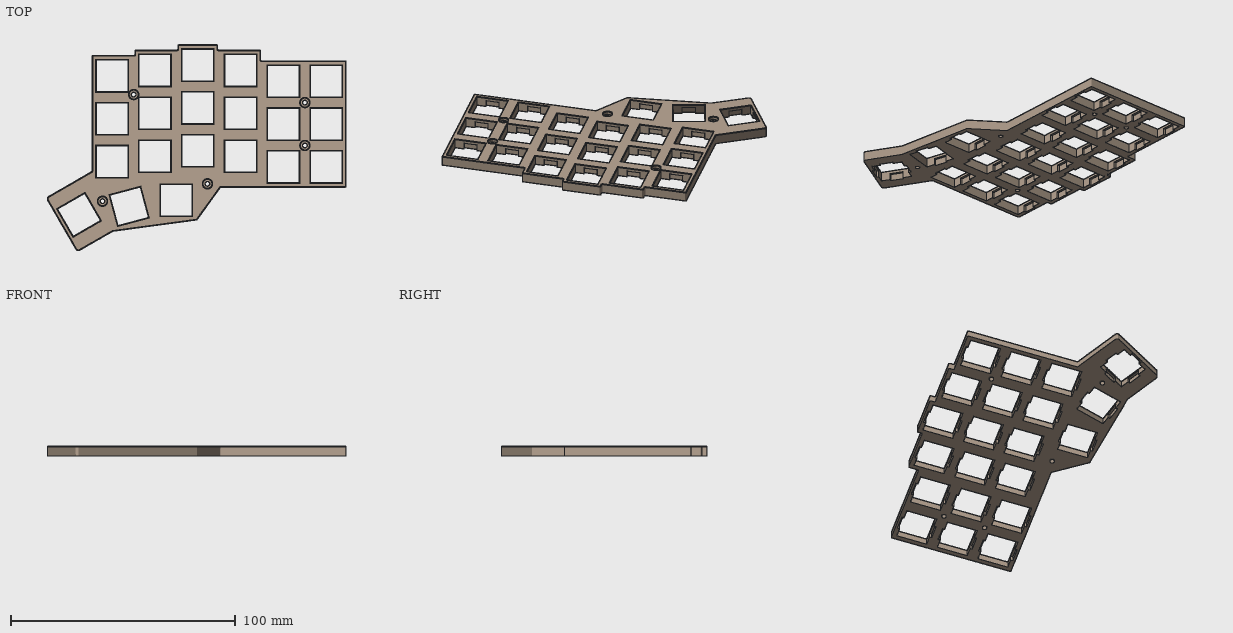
import cadquery as cq
import math

thickness = 4.5
corner_radius = 0.5
top_chamfer = 0.3

pitch = 19.05
stagger_step = pitch / 8
stagger_steps = [1, 2, 3, 2, 0, 0]
columns = len(stagger_steps)
rows = 3
first_column_x = -37.62
unstaggered_row_y = -8.54
side_margin = 8.855
end_margin = 9.06

opening = 14.0
clip_rim = 1.5
clip_width = 6.0
clip_depth = 1.0

thumb_inner = (-9.05, -23.34, 0)
thumb_middle = (-30.01, -26.08, 15)
thumb_outer = (-52.3, -29.85, 30)

thumb_margin = 8.86
thumb_end_half_length = 13.8
thumb_end_radius = 1.3

thumb_notch = (-37.26, -37.17)
thumb_tip = (0.12, -32.13)
thumb_shoulder_x = 10.6

screw_diameter = 2.0
counterbore_diameter = 4.0
counterbore_depth = 1.5
left_screw = (-28.0, 23.6)
shoulder_screw = (4.8, -16.05)
thumb_screw = (-41.85, -23.8)


def key_center(column, row):
    """Centre of a grid key."""
    x = first_column_x + column * pitch
    y = unstaggered_row_y + stagger_steps[column] * stagger_step + row * pitch
    return x, y


def thumb_end_corner(side):
    """Sharp corner of the thumb end; side is 1 for the upper corner and -1 for the lower one."""
    center_x, center_y, turn_degrees = thumb_outer
    turn = math.radians(turn_degrees)
    along = -thumb_margin
    across = side * thumb_end_half_length
    x = center_x + along * math.cos(turn) - across * math.sin(turn)
    y = center_y + along * math.sin(turn) + across * math.cos(turn)
    return x, y


def stepped_top_edge():
    """Outline corners along the staggered column tops; a taller column keeps its full side margin."""
    points = [(key_center(0, 0)[0] - side_margin, key_center(0, rows - 1)[1] + end_margin)]
    for column in range(columns - 1):
        next_column = column + 1
        height = key_center(column, rows - 1)[1] + end_margin
        next_height = key_center(next_column, rows - 1)[1] + end_margin
        if next_height == height:
            continue
        if next_height > height:
            step_x = key_center(next_column, 0)[0] - side_margin
        else:
            step_x = key_center(column, 0)[0] + side_margin
        points += [(step_x, height), (step_x, next_height)]
    points.append((key_center(columns - 1, 0)[0] + side_margin, next_height))
    return points


def outline_points():
    top_edge = stepped_top_edge()
    left = top_edge[0][0]
    right = top_edge[-1][0]
    bottom = key_center(columns - 1, 0)[1] - end_margin
    upper_end = thumb_end_corner(1)
    rise = (left - upper_end[0]) * math.tan(math.radians(thumb_outer[2]))
    thumb_edge = [
        (right, bottom),
        (thumb_shoulder_x, bottom),
        thumb_tip,
        thumb_notch,
        thumb_end_corner(-1),
        upper_end,
        (left, upper_end[1] + rise),
    ]
    return top_edge + thumb_edge


def make_plate():
    corners = outline_points()
    end_corners = [thumb_end_corner(1), thumb_end_corner(-1)]
    plate = cq.Workplane("XY").polyline(corners).close().extrude(thickness)
    for corner in corners:
        radius = thumb_end_radius if corner in end_corners else corner_radius
        edge_middle = (*corner, thickness / 2)
        plate = plate.edges(cq.NearestToPointSelector(edge_middle)).fillet(radius)
    return plate


def clip_recess():
    """Pair of recesses in the walls facing +Y and -Y."""
    return cq.Workplane("XY").rect(clip_width, opening + 2 * clip_depth).extrude(thickness - clip_rim)


def opening_cutter():
    return cq.Workplane("XY").rect(opening, opening).extrude(thickness).union(clip_recess())


def placed(cutter, placement):
    x, y, turn = placement
    return cutter.rotate((0, 0, 0), (0, 0, 1), turn).translate((x, y, 0))


def cut_openings(plate):
    grid = [(*key_center(column, row), 0) for column in range(columns) for row in range(rows)]
    for placement in grid + [thumb_inner, thumb_middle, thumb_outer]:
        plate = plate.cut(placed(opening_cutter(), placement))
    sideways_recess = clip_recess().rotate((0, 0, 0), (0, 0, 1), 90)
    return plate.cut(placed(sideways_recess, thumb_outer))


def screw_points():
    first_x, first_y = key_center(columns - 2, 0)
    between_columns_x = first_x + pitch / 2
    between_rows = [(between_columns_x, first_y + (row + 0.5) * pitch) for row in range(rows - 1)]
    return between_rows + [left_screw, shoulder_screw, thumb_screw]


def cut_screw_holes(plate):
    top = plate.faces(">Z").workplane(origin=(0, 0, thickness))
    return top.pushPoints(screw_points()).cboreHole(screw_diameter, counterbore_diameter, counterbore_depth)


result = cut_screw_holes(cut_openings(make_plate()))
result = result.faces(">Z").edges().chamfer(top_chamfer)